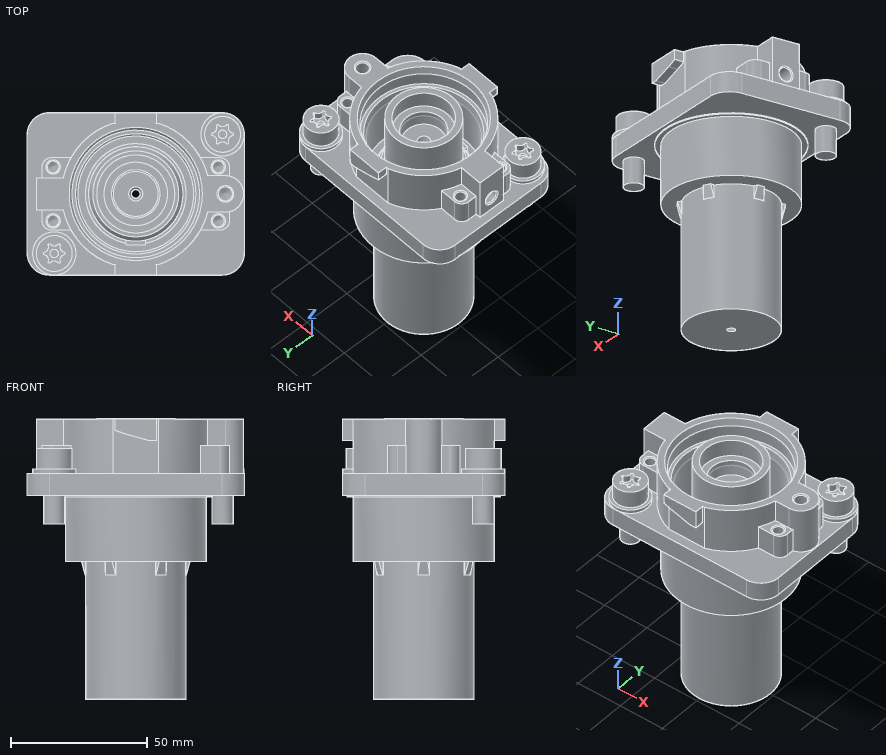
import cadquery as cq
import math

overall_height = 103.3
flange_thickness = 8.2
collar_height = 19.9
contact_rise = 0.3
collar_top = flange_thickness + collar_height
insert_top = collar_top + contact_rise
insert_bottom = insert_top - overall_height
seal_thickness = 0.4
barrel_bottom = -24.3

flange_length = 80.0
flange_width = 59.8
flange_corner_radius = 8.3
seal_radius = 28.2
barrel_radius = 25.9
collar_radius = 27.3
collar_flat = barrel_radius

mouth_radius = 24.5
upper_wall_radius = 23.5
mouth_depth = 2.9
ledge_radius = 22.1
ledge_depth = 8.6
lower_wall_radius = 21.3
lower_mouth_depth = 11.7
cavity_floor = -2.9

tab_length = 15.2
tab_depth = 7.9
tab_shallow_depth = 4.0
tab_ramp_start = (-3.5, -5.5)
tab_ramp_bend = (-5.7, -4.8)
tab_ramp_end = 5.0
block_end = 36.6
block_width = 11.8
block_hole_height = 6.4
block_hole_radius = 2.7
block_hole_depth = 6.7
ear_center = 33.0
ear_radius = 6.7
ear_hole_radius = 2.6
ear_hole_depth = 10.3
pad_end = 34.5
pad_half_width = 13.3
pad_height = 10.3
pad_corner_radius = 3.6
pad_hole_x = 30.4
pad_hole_y = 9.9
pad_hole_radius = 2.2
pad_hole_depth = 8.3
hole_chamfer = 0.46
drill_tip_slope = 0.6

screw_centers = [(-30.0, -21.9), (31.9, 21.9)]
washer_radius = 8.0
washer_height = 1.7
screw_head_radius = 6.6
screw_head_top = 9.2
shank_radius = 3.9
shank_length = 10.4
lobe_count = 6
lobe_radius = 4.0
lobe_edge_radius = 3.8
lobe_half_angle = 6.0
valley_radius = 2.8
socket_depth = 3.1
pilot_radius = 1.5
pilot_depth = 1.0

tube_radius = 18.5
shoulder_radius = 17.4
shoulder_top_radius = 15.8
shoulder_base_height = 2.1
shoulder_height = 5.2
key_width = 7.2
key_root = 16.5
key_reach = 18.7
contact_radius = 14.4
contact_bore_radius = 11.7
contact_bore_depth = 7.4
inner_bore_radius = 8.9
inner_bore_end_radius = 8.3
inner_bore_wall = 2.3
inner_bore_depth = 6.4
wire_hole_radius = 1.5
wire_hole_mouth_radius = 2.6
wire_hole_mouth_depth = 2.1
barb_count = 6
barb_height = 5.0
barb_radius = 19.9
barb_root_radius = 17.6
barb_base_width = 4.3
barb_tip_width = 3.1
barb_end_thickness = 0.1


def cylinder(radius, bottom, top):
    return cq.Workplane("XY").workplane(offset=bottom).circle(radius).extrude(top - bottom)


def revolved(profile):
    """Solid of revolution about Z from (radius, height) points."""
    return cq.Workplane("XZ").polyline(profile).close().revolve(360, (0, 0), (0, 1))


def drilled_hole(radius, depth):
    """Cutter for a blind hole going down from Z = 0: chamfered mouth and conical tip."""
    mouth = radius + hole_chamfer
    return revolved([
        (0, 0), (mouth, 0), (radius, -hole_chamfer), (radius, -depth), (0, -depth - radius * drill_tip_slope),
    ])


def make_flange():
    plate = (
        cq.Workplane("XY").rect(flange_length, flange_width).extrude(flange_thickness)
        .edges("|Z").fillet(flange_corner_radius)
    )
    return plate.union(cylinder(seal_radius, -seal_thickness, 0))


def make_collar():
    """Round collar with a flat on its -Y and +Y sides."""
    flats = (
        cq.Workplane("XY").workplane(offset=flange_thickness)
        .rect(2 * collar_radius, 2 * collar_flat).extrude(collar_height)
    )
    return cylinder(collar_radius, flange_thickness, collar_top).intersect(flats)


def make_tabs():
    """Bayonet tabs on both flats, with a ramp underneath that deepens towards +X."""
    half = tab_length / 2
    return (
        cq.Workplane("XZ", origin=(0, flange_width / 2, collar_top))
        .moveTo(half, 0)
        .lineTo(-half, 0)
        .lineTo(-half, -tab_shallow_depth)
        .threePointArc(tab_ramp_bend, tab_ramp_start)
        .lineTo(tab_ramp_end, -tab_depth)
        .lineTo(half, -tab_depth)
        .close()
        .extrude(flange_width)
    )


def make_pads():
    """Low rounded bar across the collar whose four corners are the drilled pads."""
    return (
        cq.Workplane("XY").workplane(offset=flange_thickness)
        .rect(2 * pad_end, 2 * pad_half_width).extrude(pad_height)
        .edges("|Z").fillet(pad_corner_radius)
    )


def make_block():
    return (
        cq.Workplane("XY").workplane(offset=flange_thickness)
        .center(-block_end / 2, 0).rect(block_end, block_width).extrude(collar_height)
    )


def make_ear():
    base = cq.Workplane("XY").workplane(offset=flange_thickness)
    bar = base.center(ear_center / 2, 0).rect(ear_center, 2 * ear_radius).extrude(collar_height)
    return bar.union(cylinder(ear_radius, flange_thickness, collar_top).translate((ear_center, 0, 0)))


def make_cavity():
    return revolved([
        (0, collar_top),
        (mouth_radius, collar_top),
        (upper_wall_radius, collar_top - mouth_depth),
        (upper_wall_radius, collar_top - ledge_depth),
        (ledge_radius, collar_top - ledge_depth),
        (lower_wall_radius, collar_top - lower_mouth_depth),
        (lower_wall_radius, cavity_floor),
        (tube_radius, cavity_floor),
        (tube_radius, barrel_bottom),
        (0, barrel_bottom),
    ])


def polar(radius, angle):
    return (radius * math.cos(math.radians(angle)), radius * math.sin(math.radians(angle)))


def make_socket():
    """Six-lobed socket cutter going down from Z = 0, with a round pilot in its floor."""
    pitch = 360 / lobe_count
    outline = cq.Workplane("XY").moveTo(*polar(lobe_edge_radius, -lobe_half_angle))
    for i in range(lobe_count):
        lobe = i * pitch
        outline = outline.threePointArc(
            polar(lobe_radius, lobe),
            polar(lobe_edge_radius, lobe + lobe_half_angle),
        )
        outline = outline.threePointArc(
            polar(valley_radius, lobe + pitch / 2),
            polar(lobe_edge_radius, lobe + pitch - lobe_half_angle),
        )
    socket = outline.close().extrude(-socket_depth)
    return socket.union(cylinder(pilot_radius, -socket_depth - pilot_depth, 0))


def make_screw():
    """Screw with washer, at its height through the flange."""
    head_top = flange_thickness + screw_head_top
    screw = cylinder(shank_radius, -shank_length, flange_thickness)
    screw = screw.union(cylinder(washer_radius, flange_thickness, flange_thickness + washer_height))
    screw = screw.union(cylinder(screw_head_radius, flange_thickness, head_top))
    return screw.cut(make_socket().translate((0, 0, head_top)))


def make_housing():
    housing = make_flange().union(cylinder(barrel_radius, barrel_bottom, 0))
    for feature in (make_collar(), make_tabs(), make_pads(), make_block(), make_ear()):
        housing = housing.union(feature)
    housing = housing.cut(make_cavity())

    pad_hole = drilled_hole(pad_hole_radius, pad_hole_depth)
    for x in (-pad_hole_x, pad_hole_x):
        for y in (-pad_hole_y, pad_hole_y):
            housing = housing.cut(pad_hole.translate((x, y, flange_thickness + pad_height)))
    ear_hole = drilled_hole(ear_hole_radius, ear_hole_depth)
    housing = housing.cut(ear_hole.translate((ear_center, 0, collar_top)))
    block_hole = drilled_hole(block_hole_radius, block_hole_depth).rotate((0, 0, 0), (0, 1, 0), -90)
    housing = housing.cut(block_hole.translate((-block_end, 0, flange_thickness + block_hole_height)))

    for x, y in screw_centers:
        housing = housing.union(make_screw().translate((x, y, 0)))
    return housing


def make_barb():
    """Snap barb on the +X side: widest against the barrel and fading into the tube below."""
    base = barb_base_width / 2
    tip = barb_tip_width / 2

    def section(reach, half_width):
        return [
            (barb_root_radius, -base),
            (tube_radius, -base),
            (reach, -half_width),
            (reach, half_width),
            (tube_radius, base),
            (barb_root_radius, base),
        ]

    return (
        cq.Workplane("XY").workplane(offset=barrel_bottom - barb_height)
        .polyline(section(tube_radius + barb_end_thickness, base)).close()
        .workplane(offset=barb_height)
        .polyline(section(barb_radius, tip)).close()
        .loft(ruled=True)
    )


def make_insert():
    bore_floor = insert_top - contact_bore_depth
    inner_floor = bore_floor - inner_bore_depth
    insert = revolved([
        (wire_hole_radius, insert_bottom),
        (tube_radius, insert_bottom),
        (tube_radius, cavity_floor),
        (shoulder_radius, cavity_floor),
        (shoulder_radius, cavity_floor + shoulder_base_height),
        (shoulder_top_radius, cavity_floor + shoulder_height),
        (contact_radius, cavity_floor + shoulder_height),
        (contact_radius, insert_top),
        (contact_bore_radius, insert_top),
        (contact_bore_radius, bore_floor),
        (inner_bore_radius, bore_floor),
        (inner_bore_radius, bore_floor - inner_bore_wall),
        (inner_bore_end_radius, inner_floor),
        (wire_hole_mouth_radius, inner_floor),
        (wire_hole_radius, inner_floor - wire_hole_mouth_depth),
    ])
    key = (
        cq.Workplane("XY").workplane(offset=cavity_floor)
        .center(0, -(key_root + key_reach) / 2)
        .rect(key_width, key_reach - key_root).extrude(shoulder_base_height)
    )
    insert = insert.union(key)
    for i in range(barb_count):
        insert = insert.union(make_barb().rotate((0, 0, 0), (0, 0, 1), i * 360 / barb_count))
    return insert


housing = make_housing()
insert = make_insert()

result = cq.Compound.makeCompound([housing.val(), insert.val()])